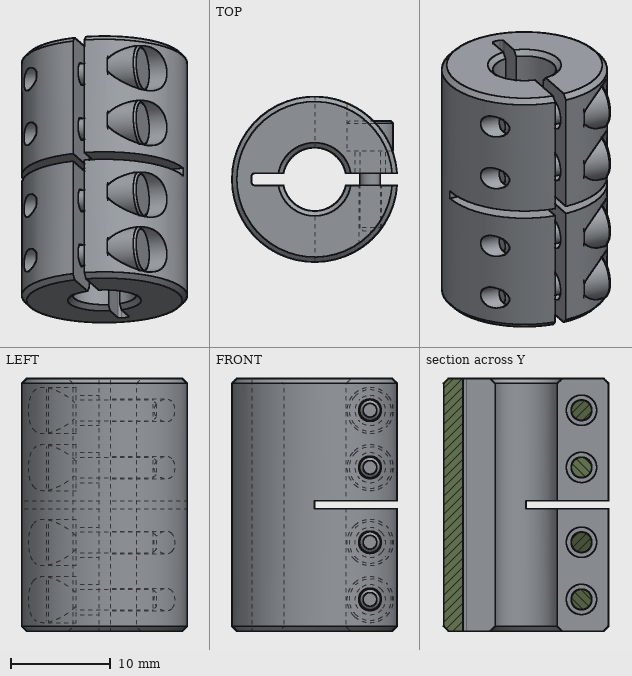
import cadquery as cq

LENGTH = 25.4
BODY_DIAMETER = 16.64
BORE_DIAMETER = 6.35
EDGE_CHAMFER = 0.5

SLOT_WIDTH = 1.2
SLOT_END_X = -6.32
SLOT_CORNER_RADIUS = 0.3
SLIT_WIDTH = 0.8

SCREW_X = 5.55
INNER_SCREW_Z = 3.75
OUTER_SCREW_Z = 9.5
SHANK_DIAMETER = 2.08
TIP_DIAMETER = 1.37
TIP_Y = -5.18
HEAD_DIAMETER = 4.65
HEAD_HEIGHT = 3.0
HEAD_CHAMFER = 0.23
SEAT_Y = 2.87
TIP_HOLE_DIAMETER = 2.25
CLEARANCE_HOLE_DIAMETER = 3.05

SCREW_HEIGHTS = [-OUTER_SCREW_Z, -INNER_SCREW_Z, INNER_SCREW_Z, OUTER_SCREW_Z]
BODY_RADIUS = BODY_DIAMETER / 2


def cylinder_along_y(diameter, start_y, end_y, z):
    """Cylinder on a screw axis, from start_y up to end_y."""
    base = cq.Workplane("XZ", origin=(SCREW_X, start_y, z))
    return base.circle(diameter / 2).extrude(start_y - end_y)


def make_bored_cylinder():
    """Round body with a through bore, chamfered on all four end edges."""
    body = cq.Workplane("XY").circle(BODY_RADIUS).circle(BORE_DIAMETER / 2).extrude(LENGTH)
    body = body.faces("<Z or >Z").chamfer(EDGE_CHAMFER)
    return body.translate((0, 0, -LENGTH / 2))


def make_slot():
    """Full-length slot, open on +X and closed past the bore with rounded corners."""
    slot = cq.Workplane("XY").box(BODY_RADIUS - SLOT_END_X, SLOT_WIDTH, LENGTH, centered=(False, True, True))
    slot = slot.edges("|Z and <X").fillet(SLOT_CORNER_RADIUS)
    return slot.translate((SLOT_END_X, 0, 0))


def make_slit():
    """Mid-length slit through the +X half of the body."""
    return cq.Workplane("XY").box(BODY_RADIUS, BODY_DIAMETER, SLIT_WIDTH, centered=(False, True, True))


def make_screw_hole(z):
    """Narrow hole on the tip side of the slot, wider clearance hole and head recess on the other."""
    tip_hole = cylinder_along_y(TIP_HOLE_DIAMETER, -BODY_RADIUS, 0, z)
    clearance_hole = cylinder_along_y(CLEARANCE_HOLE_DIAMETER, 0, SEAT_Y, z)
    head_recess = cylinder_along_y(HEAD_DIAMETER, SEAT_Y, BODY_RADIUS, z)
    return tip_hole.union(clearance_hole).union(head_recess)


def make_body():
    """Round clamp body with its slot, slit and screw holes."""
    body = make_bored_cylinder().cut(make_slot()).cut(make_slit())
    for z in SCREW_HEIGHTS:
        body = body.cut(make_screw_hole(z))
    return body


def make_screw(z):
    """Cap screw with a chamfered head and a 45 degree chamfered tip."""
    tip_chamfer = (SHANK_DIAMETER - TIP_DIAMETER) / 2
    shank = cylinder_along_y(SHANK_DIAMETER, TIP_Y, SEAT_Y, z).faces("<Y").chamfer(tip_chamfer)
    head = cylinder_along_y(HEAD_DIAMETER, SEAT_Y, SEAT_Y + HEAD_HEIGHT, z)
    head = head.faces(">Y").chamfer(HEAD_CHAMFER)
    return head.union(shank)


body = make_body()
screws = [make_screw(z) for z in SCREW_HEIGHTS]

result = cq.Compound.makeCompound([body.val(), *[screw.val() for screw in screws]])